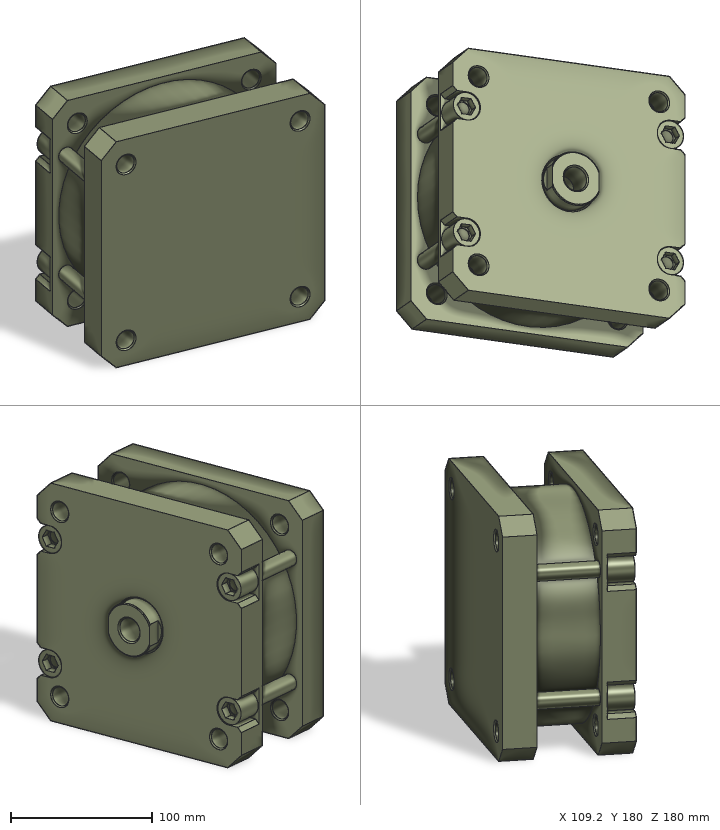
import cadquery as cq
import math

plate_side = 180.0
plate_thickness = 25.0
corner_chamfer = 12.0
barrel_diameter = 170.0
barrel_length = 47.2
rear_plate_x = plate_thickness + barrel_length

mount_hole_diameter = 14.0
mount_hole_offset = 70.0
mount_hole_chamfer = 0.99

rod_diameter = 39.6
rod_nose = 12.0
rod_chamfer = 0.7
bore_chamfer = 1.3
flat_spacing = 36.0
flat_length = 10.0
rod_hole_diameter = 17.5
rod_hole_depth = 23.4
rod_hole_chamfer = 1.0
drill_point_angle = 118.0

screw_y = 79.0
screw_z = 47.0
shank_diameter = 12.0
thread_depth = 18.0
head_diameter = 20.3
head_recess = 0.7
pocket_width = 20.9
pocket_depth = 21.0
pocket_flare = 3.2
hex_across_flats = 12.0
hex_depth = 6.5
hex_relief_diameter = 10.0
hex_relief_depth = 7.0

screw_centres = [(y, z) for y in (-screw_y, screw_y) for z in (-screw_z, screw_z)]
mount_centres = [(y, z) for y in (-mount_hole_offset, mount_hole_offset)
                 for z in (-mount_hole_offset, mount_hole_offset)]


def cylinder_along_x(diameter, x_start, x_end, y=0.0, z=0.0):
    """Solid cylinder parallel to X between two X positions."""
    base = cq.Workplane("YZ", origin=(x_start, y, z))
    return base.circle(diameter / 2).extrude(x_end - x_start)


def make_plate(x_start):
    """Square plate with bevelled corners and four mounting holes chamfered at both ends."""
    plate = (
        cq.Workplane("YZ", origin=(x_start, 0, 0))
        .rect(plate_side, plate_side)
        .extrude(plate_thickness)
        .edges("|X")
        .chamfer(corner_chamfer)
    )
    holes = (
        cq.Workplane("YZ", origin=(x_start, 0, 0))
        .pushPoints(mount_centres)
        .circle(mount_hole_diameter / 2)
        .extrude(plate_thickness)
    )
    return plate.cut(holes).edges("%CIRCLE").chamfer(mount_hole_chamfer)


def make_screw_pocket(y, z):
    """Round-ended slot from a screw axis out to the plate side, flared at its mouth."""
    outward = math.copysign(1.0, y)
    half_width = pocket_width / 2
    edge_y = outward * plate_side / 2 - y
    flare_y = edge_y - outward * pocket_flare
    return (
        cq.Workplane("YZ", origin=(0, y, z))
        .moveTo(0, half_width)
        .lineTo(flare_y, half_width)
        .lineTo(edge_y, half_width + pocket_flare)
        .lineTo(edge_y, -half_width - pocket_flare)
        .lineTo(flare_y, -half_width)
        .lineTo(0, -half_width)
        .threePointArc((-outward * half_width, 0), (0, half_width))
        .close()
        .extrude(pocket_depth)
    )


def make_front_plate():
    """Plate with the chamfered rod bore, the screw pockets and the screw holes."""
    bore = cylinder_along_x(rod_diameter, 0, plate_thickness)
    bore_radius = rod_diameter / 2
    bore_mouth = cq.Solid.makeCone(
        bore_radius + bore_chamfer, bore_radius, bore_chamfer, cq.Vector(0, 0, 0), cq.Vector(1, 0, 0)
    )
    plate = make_plate(0).cut(bore).cut(cq.Workplane(bore_mouth))
    for y, z in screw_centres:
        plate = plate.cut(make_screw_pocket(y, z))
        plate = plate.cut(cylinder_along_x(shank_diameter, 0, plate_thickness, y, z))
    return plate


def make_rear_plate():
    """Plate with blind holes that take the screw ends."""
    plate = make_plate(rear_plate_x)
    for y, z in screw_centres:
        plate = plate.cut(cylinder_along_x(shank_diameter, rear_plate_x, rear_plate_x + thread_depth, y, z))
    return plate


def make_barrel():
    """Round body clamped between the plates."""
    return cylinder_along_x(barrel_diameter, plate_thickness, rear_plate_x)


def make_wrench_flat_cutter():
    """Cutter for the +Y flat; it ends in a 45 degree slope that runs out at the rod surface."""
    flat_y = flat_spacing / 2
    outer_y = rod_diameter
    flat_end_x = flat_length - rod_nose
    return (
        cq.Workplane("XY")
        .moveTo(-rod_nose, flat_y)
        .lineTo(flat_end_x, flat_y)
        .lineTo(flat_end_x + outer_y - flat_y, outer_y)
        .lineTo(-rod_nose, outer_y)
        .close()
        .extrude(rod_diameter / 2, both=True)
    )


def make_rod():
    """Rod with a chamfered nose, two wrench flats and a drilled hole in its end."""
    rod = cylinder_along_x(rod_diameter, -rod_nose, plate_thickness).faces("<X").chamfer(rod_chamfer)
    flat_cutter = make_wrench_flat_cutter()
    rod = rod.cut(flat_cutter).cut(flat_cutter.mirror("XZ"))

    hole_radius = rod_hole_diameter / 2
    mouth_radius = hole_radius + rod_hole_chamfer
    point_depth = hole_radius / math.tan(math.radians(drill_point_angle / 2))
    hole = (
        cq.Workplane("XY", origin=(-rod_nose, 0, 0))
        .lineTo(0, mouth_radius)
        .lineTo(rod_hole_chamfer, hole_radius)
        .lineTo(rod_hole_depth, hole_radius)
        .lineTo(rod_hole_depth + point_depth, 0)
        .close()
        .revolve(360, (0, 0, 0), (1, 0, 0))
    )
    return rod.cut(hole)


def make_screw(y, z):
    """Socket head screw, its head sunk just below the front plate face."""
    head = cylinder_along_x(head_diameter, head_recess, pocket_depth, y, z)
    shank = cylinder_along_x(shank_diameter, pocket_depth, rear_plate_x + thread_depth, y, z)
    hex_across_corners = hex_across_flats / math.cos(math.pi / 6)
    socket = cq.Workplane("YZ", origin=(head_recess, y, z)).polygon(6, hex_across_corners).extrude(hex_depth)
    relief = cylinder_along_x(hex_relief_diameter, head_recess, head_recess + hex_relief_depth, y, z)
    return head.union(shank).cut(socket).cut(relief)


front_plate = make_front_plate()
rear_plate = make_rear_plate()
barrel = make_barrel()
rod = make_rod()
screws = [make_screw(y, z) for y, z in screw_centres]

result = cq.Compound.makeCompound(
    [front_plate.val(), rear_plate.val(), barrel.val(), rod.val(), *[screw.val() for screw in screws]]
)